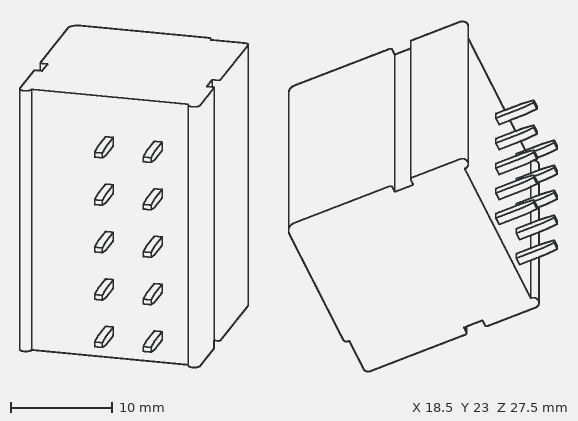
import cadquery as cq

width = 18.5
height = 27.5
total_depth = 23.0

pin_length = 4.1
seat_y = pin_length
back_y = total_depth
back_left_radius = 1.0
back_step_x = 14.5
back_step_depth = 0.5
step_edge_radius = 0.4
back_right_radius = 0.5

rib_width = 1.2
rib_radius = rib_width / 2
rib_height = 0.6

groove_depth = 0.8
groove_width = 2.0
groove_y = 10.5
groove_edge_radius = 0.2

pin_width = 0.8
pin_thickness = 0.9
pin_tip_thickness = 0.5
pin_taper_length = 1.25
pin_pitch = 5.0
pin_columns = 2
pin_rows = 5
first_pin_x = 9.2
first_pin_z = 2.8


def make_block():
    """Housing block with the stepped, rounded back face."""
    depth = back_y - seat_y
    block = cq.Workplane("XY").box(width, depth, height, centered=False)
    block = block.translate((0, seat_y, 0))
    step = cq.Workplane("XY").box(width - back_step_x, back_step_depth, height, centered=False)
    block = block.cut(step.translate((back_step_x, back_y - back_step_depth, 0)))

    rounded_corners = [
        (0, back_y, back_left_radius),
        (back_step_x, back_y, step_edge_radius),
        (width, back_y - back_step_depth, back_right_radius),
    ]
    for x, y, radius in rounded_corners:
        corner = cq.selectors.NearestToPointSelector((x, y, height / 2))
        block = block.edges(corner).fillet(radius)
    return block


def make_rib(x_start):
    """Round-nosed rib standing on the seating face."""
    nose_y = seat_y - rib_height
    shoulder_y = nose_y + rib_radius
    root_y = seat_y + rib_width
    return (
        cq.Workplane("XY")
        .moveTo(x_start, root_y)
        .lineTo(x_start, shoulder_y)
        .threePointArc((x_start + rib_radius, nose_y), (x_start + rib_width, shoulder_y))
        .lineTo(x_start + rib_width, root_y)
        .close()
        .extrude(height)
    )


def cut_side_grooves(body):
    """Groove down each side, with both outer corners rounded."""
    lower_y = groove_y - groove_width / 2
    upper_y = groove_y + groove_width / 2
    for side_x in (0, width):
        groove = cq.Workplane("XY").center(side_x, groove_y)
        groove = groove.rect(2 * groove_depth, groove_width).extrude(height)
        body = body.cut(groove)
        for edge_y in (lower_y, upper_y):
            corner = cq.selectors.NearestToPointSelector((side_x, edge_y, height / 2))
            body = body.edges(corner).fillet(groove_edge_radius)
    return body


def make_pin(x, z):
    """Flat pin whose tip tapers in Z only."""
    half_root = pin_thickness / 2
    half_tip = pin_tip_thickness / 2
    outline = [
        (seat_y, -half_root),
        (pin_taper_length, -half_root),
        (0, -half_tip),
        (0, half_tip),
        (pin_taper_length, half_root),
        (seat_y, half_root),
    ]
    pin = cq.Workplane("YZ").polyline(outline).close().extrude(pin_width / 2, both=True)
    return pin.translate((x, 0, z))


body = make_block()
for rib_x in (0, width - rib_width):
    body = body.union(make_rib(rib_x))
body = cut_side_grooves(body)
for column in range(pin_columns):
    for row in range(pin_rows):
        body = body.union(make_pin(first_pin_x + column * pin_pitch, first_pin_z + row * pin_pitch))

result = body